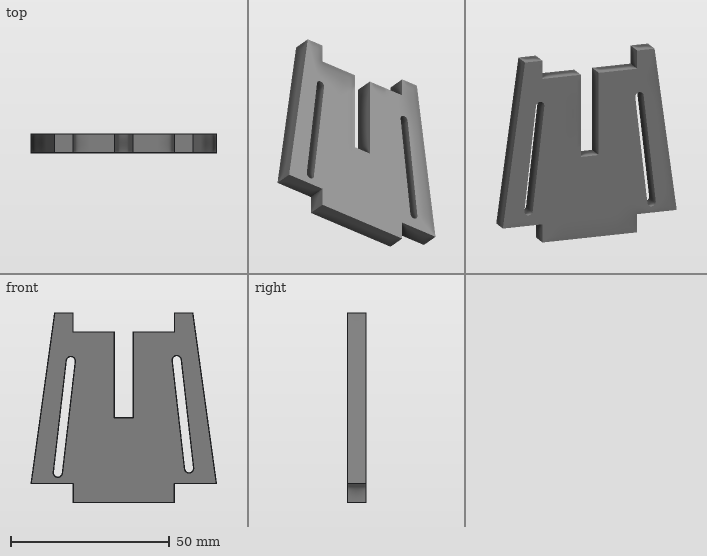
import cadquery as cq
import math

thickness = 6.0
height = 60.0
base_width = 58.6
top_width = 43.7

step = 6.0
tab_width = 31.9

notch_width = 6.0
notch_depth = 27.1

slot_width = 2.8
left_slot_ends = ((-20.8, 9.5), (-16.75, 44.75))
right_slot_ends = ((20.65, 10.85), (16.75, 45.05))


def plate():
    """Tapered plate with a bottom tab, a top recess and a central notch."""
    shoulder_z = height - step
    right_side = [
        (tab_width / 2, 0),
        (tab_width / 2, step),
        (base_width / 2, step),
        (top_width / 2, height),
        (tab_width / 2, height),
        (tab_width / 2, shoulder_z),
        (notch_width / 2, shoulder_z),
        (notch_width / 2, shoulder_z - notch_depth),
    ]
    left_side = [(-x, z) for x, z in reversed(right_side)]
    outline = cq.Workplane("XZ").polyline(right_side + left_side).close()
    return outline.extrude(thickness / 2, both=True)


def slot_cutter(ends):
    """Round-ended through slot between two end centres."""
    (x0, z0), (x1, z1) = ends
    length = math.hypot(x1 - x0, z1 - z0) + slot_width
    angle = math.degrees(math.atan2(z1 - z0, x1 - x0))
    return (
        cq.Workplane("XZ")
        .center((x0 + x1) / 2, (z0 + z1) / 2)
        .slot2D(length, slot_width, angle)
        .extrude(thickness, both=True)
    )


result = plate()
for slot_ends in (left_slot_ends, right_slot_ends):
    result = result.cut(slot_cutter(slot_ends))